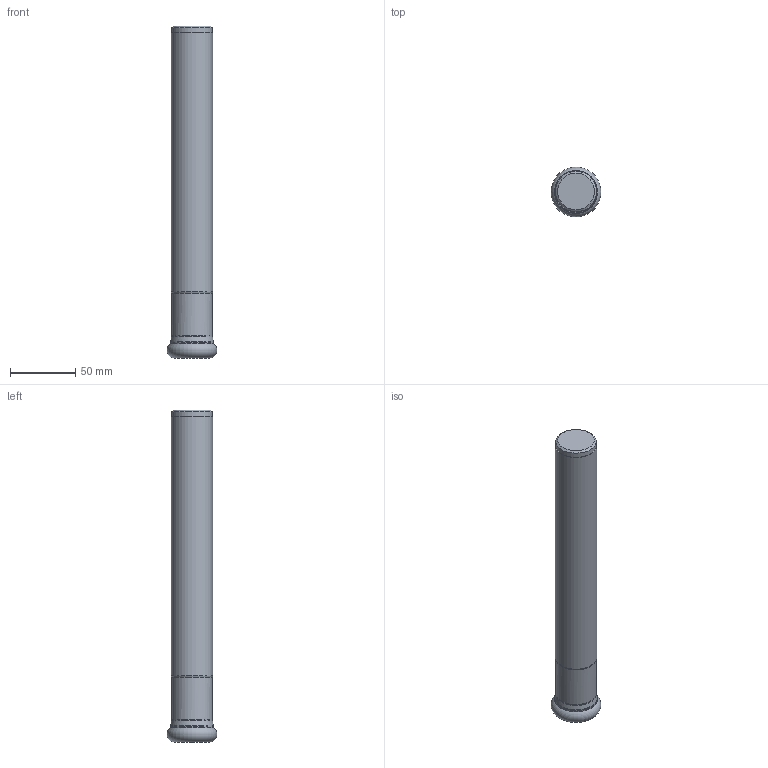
import cadquery as cq
import math

INCH = 25.4

total_length = 10 * INCH
knob_diameter = 1.5 * INCH

knob_radius = knob_diameter / 2
knob_round = 6.0
knob_flat_radius = knob_radius - knob_round
collar_radius = 16.4
knob_height = knob_round + math.sqrt(knob_round**2 - (collar_radius - knob_flat_radius) ** 2)

shaft_radius = 15.55
grip_radius = 1.25 * INCH / 2
grip_bottom = 50.6
grip_taper_height = 0.9
tip_length = 0.2 * INCH
grip_top = total_length - tip_length
collar_top = 12.5
flare_top = 16.8
flare_blend_radius = 4.0
tip_chamfer_width = 1.5
tip_chamfer_height = 1.2


def make_knob():
    """Revolve the rounded end knob, whose flat top carries the handle."""
    profile = (
        cq.Workplane("XZ")
        .moveTo(0, 0)
        .lineTo(knob_flat_radius, 0)
        .threePointArc((knob_radius, knob_round), (collar_radius, knob_height))
        .lineTo(0, knob_height)
        .close()
    )
    return profile.revolve(360, (0, 0, 0), (0, 1, 0))


def make_handle():
    """Revolve the handle: collar, lower shaft, grip and chamfered tip."""
    profile = (
        cq.Workplane("XZ")
        .moveTo(0, knob_height)
        .lineTo(collar_radius, knob_height)
        .lineTo(collar_radius, collar_top)
        .lineTo(shaft_radius, flare_top)
        .lineTo(shaft_radius, grip_bottom - grip_taper_height)
        .lineTo(grip_radius, grip_bottom)
        .lineTo(grip_radius, grip_top)
        .lineTo(shaft_radius, grip_top)
        .lineTo(shaft_radius, total_length - tip_chamfer_height)
        .lineTo(shaft_radius - tip_chamfer_width, total_length)
        .lineTo(0, total_length)
        .close()
    )
    body = profile.revolve(360, (0, 0, 0), (0, 1, 0))
    lowest = (knob_height + collar_top) / 2
    highest = (flare_top + grip_bottom) / 2
    flare_ends = body.edges("%CIRCLE").filter(lambda edge: lowest < edge.Center().z < highest)
    return flare_ends.fillet(flare_blend_radius)


knob = make_knob()
handle = make_handle()

result = cq.Compound.makeCompound([knob.val(), handle.val()])